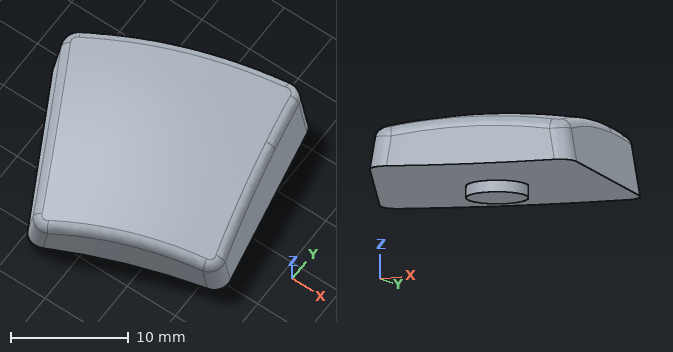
import cadquery as cq
import math


ring_center = (23.36, -66.65)
outer_radius = 79.33
inner_radius = 60.5
left_wall_angle = 27.8
right_wall_angle = 11.2
wall_draft = 9.5
blank_height = 9.78

dome_radius = 51.08
dome_summit = (-1.42, 4.47, 6.23)

corner_radius = 1.5
top_edge_radius = 1.0

stem_diameter = 5.3
stem_length = 1.0


def ring_blank():
    return (
        cq.Workplane("XY")
        .center(*ring_center)
        .circle(outer_radius)
        .circle(inner_radius)
        .extrude(blank_height)
    )


def straight_wall_side(angle, side):
    """Space kept by one drafted radial wall; side is +1 for +X of it, -1 for -X."""
    run = blank_height * math.tan(math.radians(wall_draft))
    reach = 2 * outer_radius
    across = (math.cos(math.radians(angle)), math.sin(math.radians(angle)), 0)
    outward = (math.sin(math.radians(angle)), -math.cos(math.radians(angle)), 0)
    section = cq.Plane(origin=(*ring_center, 0), xDir=across, normal=outward)
    return (
        cq.Workplane(section)
        .polyline([
            (0, 0),
            (side * reach, 0),
            (side * reach, blank_height),
            (side * run, blank_height),
        ])
        .close()
        .extrude(-reach)
    )


def dome():
    x, y, z = dome_summit
    return cq.Workplane("XY").sphere(dome_radius).translate((x, y, z - dome_radius))


def cap():
    body = ring_blank()
    body = body.intersect(straight_wall_side(left_wall_angle, 1))
    body = body.intersect(straight_wall_side(right_wall_angle, -1))
    body = body.edges("%ELLIPSE").fillet(corner_radius)
    body = body.intersect(dome())
    return body.faces("%SPHERE").edges().fillet(top_edge_radius)


def stem():
    return cq.Workplane("XY").circle(stem_diameter / 2).extrude(-stem_length)


result = cap().union(stem())